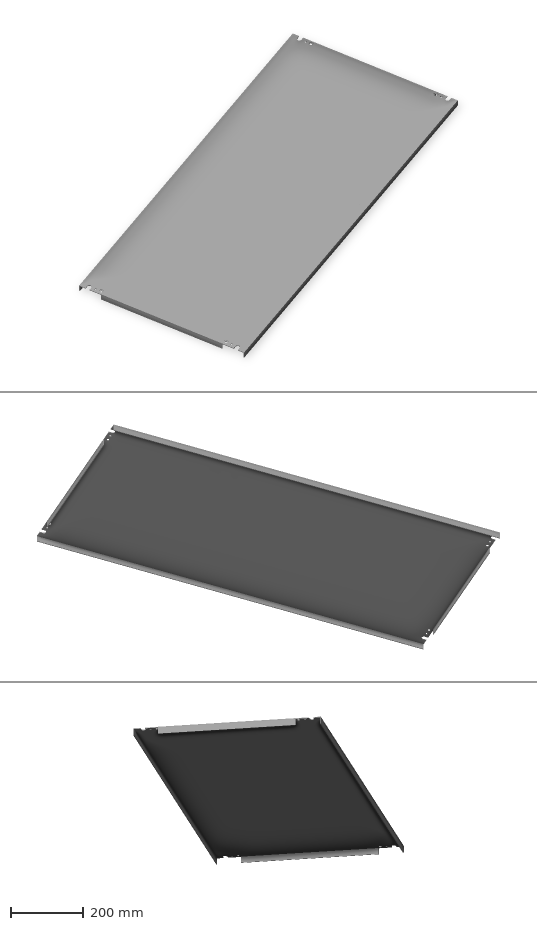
import cadquery as cq

length = 1170.0
width = 530.0
height = 20.0
sheet = 2.5

end_flange_width = 388.0

notch_width = 13.0
notch_depth = 16.0
notch_inset = 27.0

hole_row_inset = 10.8
pilot_diameter = 6.0
pilot_inset = 47.0
screw_diameter = 7.0
counterbore_diameter = 14.0
counterbore_depth = sheet / 2
screw_inset = 64.0

plate_bottom = height - sheet


def in_all_corners(feature):
    """Repeat a +X +Y corner feature at the other three corners."""
    pair = feature.union(feature.mirror("YZ"))
    return pair.union(pair.mirror("XZ"))


def flanged_panel():
    """Flat sheet with full-length side flanges and shorter end flanges."""
    solid = cq.Workplane("XY").box(width, length, height, centered=(True, True, False))
    under_sheet = (
        cq.Workplane("XY")
        .box(width - 2 * sheet, length, plate_bottom, centered=(True, True, False))
    )
    panel = solid.cut(under_sheet)
    for end in (-1, 1):
        end_flange = (
            cq.Workplane("XY")
            .center(0, end * (length - sheet) / 2)
            .rect(end_flange_width, sheet)
            .extrude(height)
        )
        panel = panel.union(end_flange)
    return panel


def notch():
    """Round-bottomed notch cutter, open toward the +Y end."""
    radius = notch_width / 2
    x = width / 2 - notch_inset
    bottom = length / 2 - notch_depth
    return (
        cq.Workplane("XY", origin=(0, 0, plate_bottom))
        .moveTo(x - radius, length / 2)
        .lineTo(x - radius, bottom + radius)
        .threePointArc((x, bottom), (x + radius, bottom + radius))
        .lineTo(x + radius, length / 2)
        .close()
        .extrude(sheet)
    )


def hole_centre(inset):
    """Sheet underside workplane centred on a hole of the corner row."""
    return cq.Workplane("XY", origin=(width / 2 - inset, length / 2 - hole_row_inset, plate_bottom))


def pilot_hole():
    """Plain through-hole cutter."""
    return hole_centre(pilot_inset).circle(pilot_diameter / 2).extrude(sheet)


def screw_hole():
    """Counterbored through-hole cutter, with the wide step at the top face."""
    shank = hole_centre(screw_inset).circle(screw_diameter / 2).extrude(sheet)
    step = (
        hole_centre(screw_inset)
        .workplane(offset=sheet - counterbore_depth)
        .circle(counterbore_diameter / 2)
        .extrude(counterbore_depth)
    )
    return shank.union(step)


cutters = notch().union(pilot_hole()).union(screw_hole())
result = flanged_panel().cut(in_all_corners(cutters))